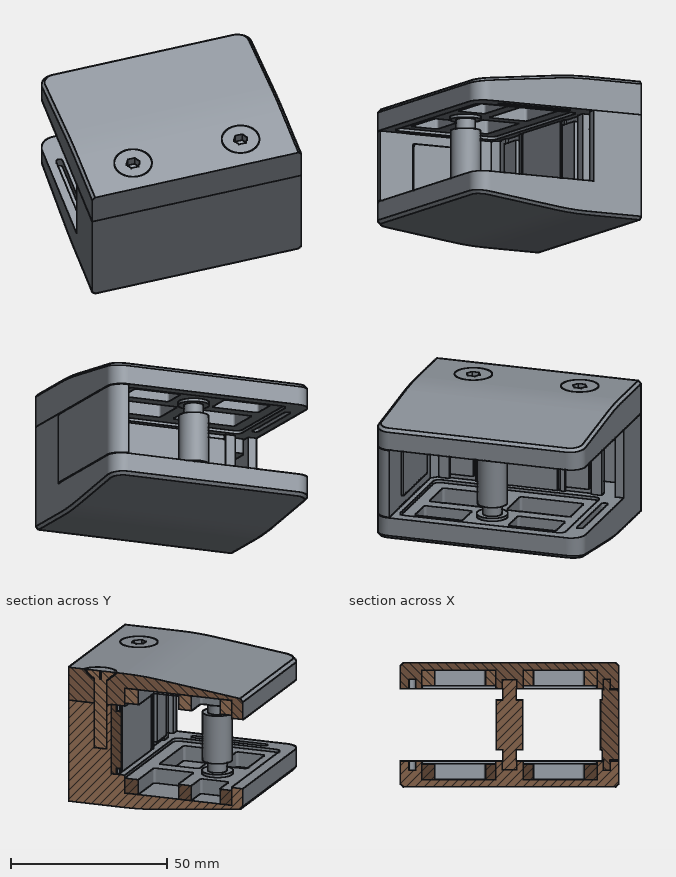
import cadquery as cq

LENGTH = 60.0
WIDTH = 70.0
HEIGHT = 45.0
GLASS_GAP = 23.0
FRONT_HEIGHT = 36.95
TAPER_END = 35.0
TAPER_BLEND_R = 100.0
CORNER_R = 4.9
RIM_CHAMFER = 1.0
MAX_RIM_SLOPE = 0.5
BACK_WALL_X = 42.7

HALF_GAP = GLASS_GAP / 2
HALF_WIDTH = WIDTH / 2

CHAMBER_END_X = 56.0
CHAMBER_IN_Y = 22.7
CHAMBER_OUT_Y = 32.05

STOP_DEPTH = 2.6
STOP_IN_Y = 12.6
STOP_OUT_Y = 27.5
STOP_CHAMFER = 0.9
STOP_RECESS_IN_Y = 15.05
STOP_RECESS_OUT_Y = 24.0
STOP_RECESS_DEPTH = 0.85
STOP_PAD_PROUD = 0.9
STOP_PAD_WIDTH = 7.85
STOP_PAD_HEIGHT = 19.25

STOP_BACK_X = BACK_WALL_X + STOP_DEPTH

PLUG_HEIGHT = 4.8
PLUG_CORNER_R = 1.55

GASKET_X = (3.9, 40.6)
GASKET_WIDTH = 56.0
GASKET_CORNER_R = 2.0
GASKET_SINK = 1.0
GASKET_THICKNESS = 5.0
WINDOW_R = 0.85
FRONT_WINDOW_X = (8.0, 17.7)
FRONT_WINDOW_IN_Y = 7.7
REAR_WINDOW_X = (22.2, 35.9)
REAR_WINDOW_IN_Y = 2.3
WINDOW_OUT_Y = 23.9

GASKET_FACE_Z = HALF_GAP + GASKET_SINK
GASKET_SEAT_Z = GASKET_FACE_Z + GASKET_THICKNESS

PIN_X = 15.0
PIN_BARREL_D = 9.6
PIN_BARREL_LENGTH = 15.95
PIN_NECK_D = 6.2
PIN_INSERTION = 2.8
BOSS_D = 10.0

PIN_LENGTH = GLASS_GAP + 2 * PIN_INSERTION

GROOVE_X = (10.0, 36.1)
GROOVE_Y = 31.1
GROOVE_WIDTH = 2.1
GROOVE_DEPTH = 3.0
COVER_IN_Y = 29.7
COVER_CLEARANCE = 0.2
COVER_PANEL_X = (11.8, 36.1)
COVER_PANEL_HEIGHT = 16.4
COVER_PANEL_PROUD = 0.55
COVER_PANEL_CORNER_R = 1.0
COVER_PANEL_DRAFT = 20

COVER_HEIGHT = GLASS_GAP - 2 * COVER_CLEARANCE

SCREW_X = 49.0
SCREW_Y = 18.0
SCREW_HEAD_D = 12.0
COUNTERSINK_D = 12.2
SCREW_SHANK_D = 6.0
SCREW_HEAD_HEIGHT = 3.0
SCREW_LENGTH = 25.9
HEX_FLATS = 4.0
HEX_DEPTH = 2.8


def box(x_range, y_range, z_range):
    """Box between two limits on each axis."""
    size = [high - low for low, high in (x_range, y_range, z_range)]
    corner = (x_range[0], y_range[0], z_range[0])
    return cq.Workplane("XY").box(*size, centered=False).translate(corner)


def cylinder(x, y, z_range, diameter):
    """Upright cylinder between two heights."""
    bottom, top = z_range
    return cq.Workplane("XY", origin=(x, y, bottom)).circle(diameter / 2).extrude(top - bottom)


def both_sides(solid):
    """The shape together with its mirror image across Y = 0."""
    return solid.union(solid.mirror("XZ"))


def flipped(solid):
    """Mirror image across Z = 0."""
    return solid.mirror("XY")


def gasket_block():
    """Gasket outline, from the face of the lid to the gasket seat."""
    return (
        box(GASKET_X, (-GASKET_WIDTH / 2, GASKET_WIDTH / 2), (HALF_GAP, GASKET_SEAT_Z))
        .edges("|Z").fillet(GASKET_CORNER_R)
    )


def boss():
    """Round boss that passes through the gasket and holds the pin."""
    return cylinder(PIN_X, 0, (HALF_GAP, GASKET_SEAT_Z), BOSS_D)


def make_upper_gasket():
    """Gasket with four windows and a hole for the boss."""
    gasket = gasket_block().intersect(
        box((0, LENGTH), (-HALF_WIDTH, HALF_WIDTH), (GASKET_FACE_Z, GASKET_SEAT_Z))
    )
    for x_range, inner_y in (
        (FRONT_WINDOW_X, FRONT_WINDOW_IN_Y),
        (REAR_WINDOW_X, REAR_WINDOW_IN_Y),
    ):
        window = box(x_range, (inner_y, WINDOW_OUT_Y), (GASKET_FACE_Z, GASKET_SEAT_Z))
        gasket = gasket.cut(both_sides(window.edges("|Z").fillet(WINDOW_R)))
    return gasket.cut(boss())


def make_pin():
    """Pin with a thick barrel between two necks."""
    neck = cylinder(PIN_X, 0, (-PIN_LENGTH / 2, PIN_LENGTH / 2), PIN_NECK_D)
    barrel = cylinder(PIN_X, 0, (-PIN_BARREL_LENGTH / 2, PIN_BARREL_LENGTH / 2), PIN_BARREL_D)
    return neck.union(barrel)


def countersunk(y, head_d):
    """Countersunk screw blank or hole, flush with the top of the lid."""
    top = HEIGHT / 2
    head_r = head_d / 2
    shank_r = SCREW_SHANK_D / 2
    return (
        cq.Workplane("XZ")
        .moveTo(0, top)
        .lineTo(head_r, top)
        .lineTo(shank_r, top - SCREW_HEAD_HEIGHT)
        .lineTo(shank_r, top - SCREW_LENGTH)
        .lineTo(0, top - SCREW_LENGTH)
        .close()
        .revolve(360, (0, 0, 0), (0, 1, 0))
        .translate((SCREW_X, y, 0))
    )


def hex_socket(y):
    """Hexagon with two corners pointing along Y."""
    return (
        cq.Workplane("XY", origin=(SCREW_X, y, HEIGHT / 2 - HEX_DEPTH))
        .polygon(6, HEX_FLATS, circumscribed=True)
        .extrude(HEX_DEPTH)
    )


def make_screw(y):
    """Countersunk screw with a hexagon socket."""
    return countersunk(y, SCREW_HEAD_D).cut(hex_socket(y))


def make_right_stop():
    """Stop on the +Y side: a recessed block with a pad standing out of the recess."""
    recess_x = BACK_WALL_X + STOP_RECESS_DEPTH
    stop = box((BACK_WALL_X, STOP_BACK_X), (STOP_IN_Y, STOP_OUT_Y), (-HALF_GAP, HALF_GAP))
    stop = stop.edges("|Z and <X and <Y").chamfer(STOP_CHAMFER)
    recess_y = (STOP_RECESS_IN_Y, STOP_RECESS_OUT_Y)
    stop = stop.cut(box((BACK_WALL_X, recess_x), recess_y, (-HALF_GAP, HALF_GAP)))
    pad_y = sum(recess_y) / 2
    pad = box(
        (BACK_WALL_X - STOP_PAD_PROUD, recess_x),
        (pad_y - STOP_PAD_WIDTH / 2, pad_y + STOP_PAD_WIDTH / 2),
        (-STOP_PAD_HEIGHT / 2, STOP_PAD_HEIGHT / 2),
    )
    return stop.union(pad)


def tongue():
    """Bar that fills the groove of the lid on the +Y side."""
    length = GROOVE_X[1] - GROOVE_X[0]
    return (
        cq.Workplane("XY", origin=(sum(GROOVE_X) / 2, GROOVE_Y, HALF_GAP))
        .slot2D(length, GROOVE_WIDTH)
        .extrude(GROOVE_DEPTH)
    )


def make_cover():
    """Plate closing the +Y side, hooked behind the back wall."""
    inset = COVER_IN_Y - STOP_OUT_Y
    plate = (
        cq.Workplane("XY", origin=(0, 0, -COVER_HEIGHT / 2))
        .moveTo(0, COVER_IN_Y)
        .lineTo(BACK_WALL_X - inset, COVER_IN_Y)
        .lineTo(BACK_WALL_X, STOP_OUT_Y)
        .lineTo(STOP_BACK_X, STOP_OUT_Y)
        .lineTo(STOP_BACK_X, CHAMBER_OUT_Y)
        .lineTo(BACK_WALL_X, CHAMBER_OUT_Y)
        .lineTo(BACK_WALL_X, HALF_WIDTH)
        .lineTo(CORNER_R, HALF_WIDTH)
        .radiusArc((0, HALF_WIDTH - CORNER_R), -CORNER_R)
        .close()
        .extrude(COVER_HEIGHT)
    )
    panel_length = COVER_PANEL_X[1] - COVER_PANEL_X[0]
    panel = (
        cq.Workplane("XZ", origin=(sum(COVER_PANEL_X) / 2, COVER_IN_Y, 0))
        .sketch()
        .rect(panel_length, COVER_PANEL_HEIGHT)
        .vertices()
        .fillet(COVER_PANEL_CORNER_R)
        .finalize()
        .extrude(COVER_PANEL_PROUD, taper=COVER_PANEL_DRAFT)
    )
    upper_tongue = tongue().union(tongue().translate((0, 0, -COVER_CLEARANCE)))
    return plate.union(panel).union(upper_tongue).union(flipped(upper_tongue))


def chamfer_rim(body):
    """Bevel the top rim along the front, the rounded corners and both sides."""
    mid_height = (HALF_GAP + FRONT_HEIGHT / 2) / 2
    rim = []
    for edge in body.edges().vals():
        middle = edge.positionAt(0.5)
        upright = abs(edge.tangentAt(0.5).z) > MAX_RIM_SLOPE
        on_side = abs(middle.y) > HALF_WIDTH - CORNER_R
        on_front = middle.x < CORNER_R
        if middle.z > mid_height and not upright and (on_side or on_front):
            rim.append(edge)
    return body.newObject(rim).chamfer(RIM_CHAMFER)


def jaw():
    """Upper half of the clamp, without plugs and screw holes."""
    top = HEIGHT / 2
    body = (
        cq.Workplane("XZ", origin=(0, HALF_WIDTH, 0))
        .moveTo(0, HALF_GAP)
        .lineTo(0, FRONT_HEIGHT / 2)
        .lineTo(TAPER_END, top)
        .lineTo(LENGTH, top)
        .lineTo(LENGTH, HALF_GAP)
        .close()
        .extrude(WIDTH)
    )
    bend = cq.selectors.NearestToPointSelector((TAPER_END, 0, top))
    body = body.edges(bend).fillet(TAPER_BLEND_R)
    body = body.edges("|Z and <X").fillet(CORNER_R)
    body = chamfer_rim(body)
    body = body.cut(gasket_block()).union(boss())
    body = body.cut(cylinder(PIN_X, 0, (HALF_GAP, PIN_LENGTH / 2), PIN_NECK_D))
    return body.cut(both_sides(tongue()))


def back_block():
    """Block behind the glass space, with chambers and stop seats cut out."""
    height = (-HALF_GAP, HALF_GAP)
    block = box((BACK_WALL_X, LENGTH), (-HALF_WIDTH, HALF_WIDTH), height)
    seat = box((BACK_WALL_X, STOP_BACK_X), (STOP_IN_Y, CHAMBER_OUT_Y), height)
    chamber = box((BACK_WALL_X, CHAMBER_END_X), (CHAMBER_IN_Y, CHAMBER_OUT_Y), height)
    return block.cut(both_sides(seat.union(chamber)))


def plug():
    """Lid plug that drops into the +Y chamber behind the stop."""
    block = box(
        (STOP_BACK_X, CHAMBER_END_X),
        (CHAMBER_IN_Y, CHAMBER_OUT_Y),
        (HALF_GAP - PLUG_HEIGHT, HALF_GAP),
    )
    return block.edges("|Z and <X and >Y").fillet(PLUG_CORNER_R)


right_stop = make_right_stop()
left_stop = right_stop.mirror("XZ")
upper_gasket = make_upper_gasket()
lower_gasket = flipped(upper_gasket)
pin = make_pin()
cover = make_cover()

lid = jaw().union(both_sides(plug()))
base = flipped(jaw()).union(back_block())
screws = []
for screw_y in (-SCREW_Y, SCREW_Y):
    hole = countersunk(screw_y, COUNTERSINK_D)
    lid = lid.cut(hole)
    base = base.cut(hole)
    screws.append(make_screw(screw_y))

result = cq.Compound.makeCompound([
    base.val(),
    lid.val(),
    lower_gasket.val(),
    upper_gasket.val(),
    left_stop.val(),
    right_stop.val(),
    pin.val(),
    cover.val(),
    *[screw.val() for screw in screws],
])